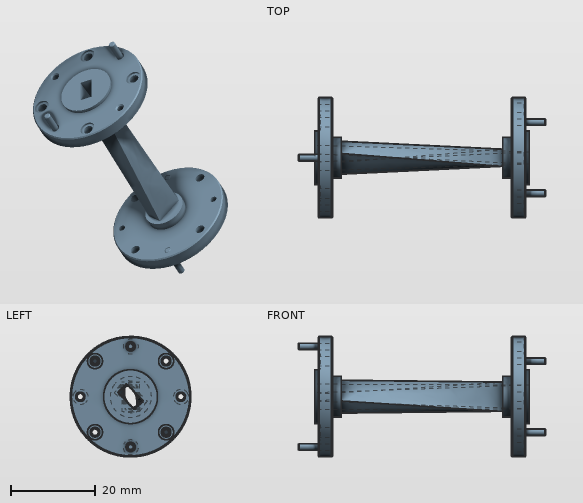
import cadquery as cq
import math

overall_length = 58.55
pin_end_x = overall_length / 2

flange_diameter = 28.6
flange_face_x = 24.6
flange_thickness = 3.4
flange_chamfer = 0.265
flange_back_x = flange_face_x - flange_thickness
face_boss_diameter = 12.75
face_boss_height = 0.9
boss_face_x = flange_face_x + face_boss_height
neck_diameter = 9.7
neck_length = 2.1
neck_end_x = flange_back_x - neck_length

guide_width = 4.1
guide_height = 6.95
bore_width = 2.85
bore_height = 5.7
twist_angle = 45.0

hole_circle_diameter = 23.85
pin_diameter = 1.6
pin_chamfer = 0.2
guide_hole_chamfer = 0.3
bolt_hole_diameter = 2.3
bolt_recess_diameter = 3.6
bolt_recess_depth = 0.45
holes_per_kind = 4
hole_spacing = 360.0 / holes_per_kind

LEFT = -1
RIGHT = 1
flange_roll = {LEFT: -twist_angle, RIGHT: 0.0}
first_pin_angle = {LEFT: 90.0, RIGHT: 90.0 - twist_angle}
pins_per_flange = 2
pin_spacing = 360.0 / pins_per_flange


def cylinder_along_x(diameter, x_start, x_end, y=0.0, z=0.0):
    """Solid cylinder between two X positions."""
    return (
        cq.Workplane("YZ", origin=(x_start, 0, 0))
        .center(y, z)
        .circle(diameter / 2)
        .extrude(x_end - x_start)
    )


def point_on_hole_circle(angle):
    """Y and Z of a hole centre, with the angle measured from +Y towards +Z."""
    radius = hole_circle_diameter / 2
    turn = math.radians(angle)
    return radius * math.cos(turn), radius * math.sin(turn)


def rectangle_wire(x, width, height, roll):
    """Rectangle across the X axis, rolled about it from +Y towards +Z."""
    turned = cq.Plane(
        origin=(x, 0, 0),
        xDir=(0, math.cos(math.radians(roll)), math.sin(math.radians(roll))),
        normal=(1, 0, 0),
    )
    return cq.Workplane(turned).rect(width, height).wires().val()


def twisted_bar(width, height, end_x):
    """Rectangular bar whose straight edges run between its two rolled ends."""
    ends = [rectangle_wire(side * end_x, width, height, flange_roll[side]) for side in (LEFT, RIGHT)]
    return cq.Workplane(cq.Solid.makeLoft(ends, True))


def flange(side):
    """Round flange with its face boss and its neck, still undrilled."""
    disc = cylinder_along_x(flange_diameter, side * flange_back_x, side * flange_face_x)
    disc = disc.edges().chamfer(flange_chamfer)
    boss = cylinder_along_x(face_boss_diameter, side * flange_face_x, side * boss_face_x)
    neck = cylinder_along_x(neck_diameter, side * neck_end_x, side * flange_back_x)
    return disc.union(boss).union(neck)


def bolt_hole(side, angle):
    """Through hole with a shallow round recess in the flange face."""
    y, z = point_on_hole_circle(angle)
    bore = cylinder_along_x(bolt_hole_diameter, side * flange_back_x, side * flange_face_x, y, z)
    recess_floor_x = flange_face_x - bolt_recess_depth
    recess = cylinder_along_x(bolt_recess_diameter, side * recess_floor_x, side * flange_face_x, y, z)
    return bore.union(recess)


def guide_hole(side, angle):
    """Through hole that fits an alignment pin, chamfered at the flange face."""
    y, z = point_on_hole_circle(angle)
    bore = cylinder_along_x(pin_diameter, side * flange_back_x, side * flange_face_x, y, z)
    mouth = cq.Workplane(
        cq.Solid.makeCone(
            pin_diameter / 2,
            pin_diameter / 2 + guide_hole_chamfer,
            guide_hole_chamfer,
            pnt=cq.Vector(side * (flange_face_x - guide_hole_chamfer), y, z),
            dir=cq.Vector(side, 0, 0),
        )
    )
    return bore.union(mouth)


def build_waveguide():
    """Twisted guide with a flange at each end, drilled and bored through."""
    body = twisted_bar(guide_width, guide_height, neck_end_x)
    for side in (LEFT, RIGHT):
        body = body.union(flange(side))
    for side in (LEFT, RIGHT):
        for step in range(holes_per_kind):
            guide_angle = first_pin_angle[side] + step * hole_spacing
            body = body.cut(guide_hole(side, guide_angle))
            body = body.cut(bolt_hole(side, guide_angle + hole_spacing / 2))
    return body.cut(twisted_bar(bore_width, bore_height, boss_face_x))


def build_pin(side, angle):
    """Alignment pin, flush with the back of its flange and chamfered at both ends."""
    y, z = point_on_hole_circle(angle)
    pin = cylinder_along_x(pin_diameter, side * flange_back_x, side * pin_end_x, y, z)
    return pin.faces("<X or >X").chamfer(pin_chamfer)


waveguide = build_waveguide()
pins = []
for side in (LEFT, RIGHT):
    for step in range(pins_per_flange):
        pins.append(build_pin(side, first_pin_angle[side] + step * pin_spacing))

result = cq.Compound.makeCompound([waveguide.val(), *[pin.val() for pin in pins]])